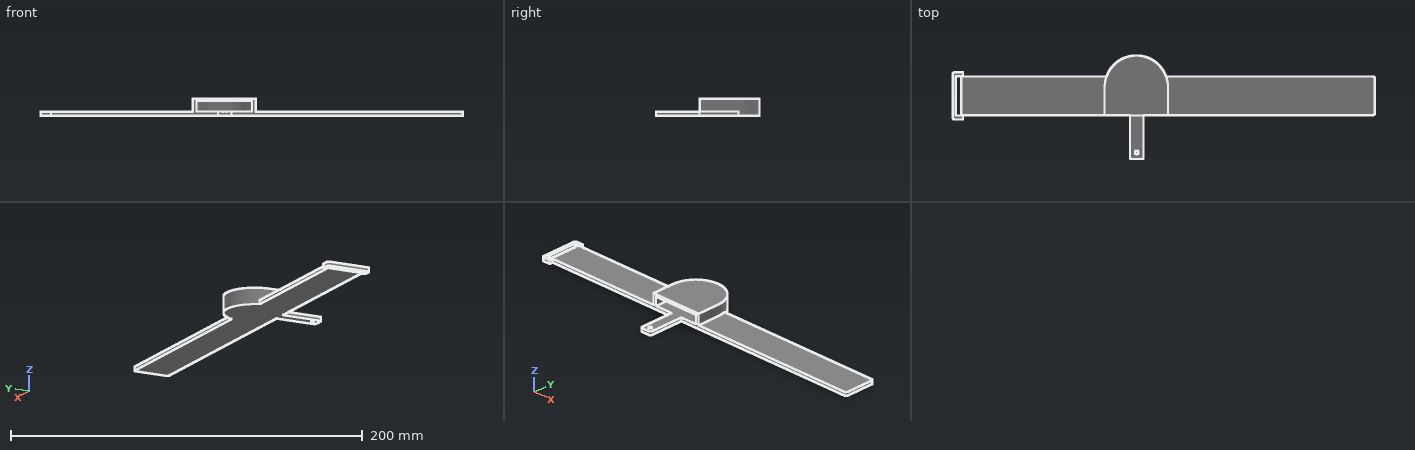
import cadquery as cq

total_length = 240.0
strap_width = 22.0
thickness = 2.5
corner_radius = 1.2

buckle_length = 6.0
buckle_width = 27.0
slot_start = 2.0
slot_length = 3.0

housing_center_x = 104.5
housing_radius = 18.0
housing_depth = 34.0
housing_height = 9.8
housing_wall = 2.2
roof_thickness = 1.5

tongue_width = 8.0
tongue_offset = 0.2
tongue_center_x = housing_center_x + tongue_offset
tongue_length = 25.0
hole_diameter = 2.0
hole_end_distance = 3.8


def d_shape(radius, straight_length, base_z, height):
    """Solid with a straight front edge on Y = 0 and a semicircular back."""
    return (
        cq.Workplane("XY", origin=(housing_center_x, 0, base_z))
        .moveTo(-radius, 0)
        .lineTo(radius, 0)
        .lineTo(radius, straight_length)
        .threePointArc((0, straight_length + radius), (-radius, straight_length))
        .close()
        .extrude(height)
    )


def plate(x_start, y_start, length, width):
    """Flat plate of strap thickness resting on Z = 0."""
    return cq.Workplane("XY").box(length, width, thickness, centered=False).translate((x_start, y_start, 0))


strap_start = buckle_length / 2
strap = plate(strap_start, 0, total_length - strap_start, strap_width)
strap = strap.edges("|Z and >X").fillet(corner_radius)

buckle_y = (strap_width - buckle_width) / 2
buckle = plate(0, buckle_y, buckle_length, buckle_width)
buckle = buckle.edges("|Z and <X").fillet(corner_radius)
slot = plate(slot_start, 0, slot_length, strap_width)

tongue = plate(tongue_center_x - tongue_width / 2, -tongue_length, tongue_width, tongue_length)
tongue = tongue.edges("|Z and <Y").fillet(corner_radius)
hole = (
    cq.Workplane("XY")
    .center(tongue_center_x, hole_end_distance - tongue_length)
    .circle(hole_diameter / 2)
    .extrude(thickness)
)

straight_length = housing_depth - housing_radius
cavity_height = housing_height - thickness - roof_thickness
housing = d_shape(housing_radius, straight_length, 0, housing_height)
cavity = d_shape(housing_radius - housing_wall, straight_length, thickness, cavity_height)

result = strap.union(buckle).cut(slot).union(housing).cut(cavity).union(tongue).cut(hole)